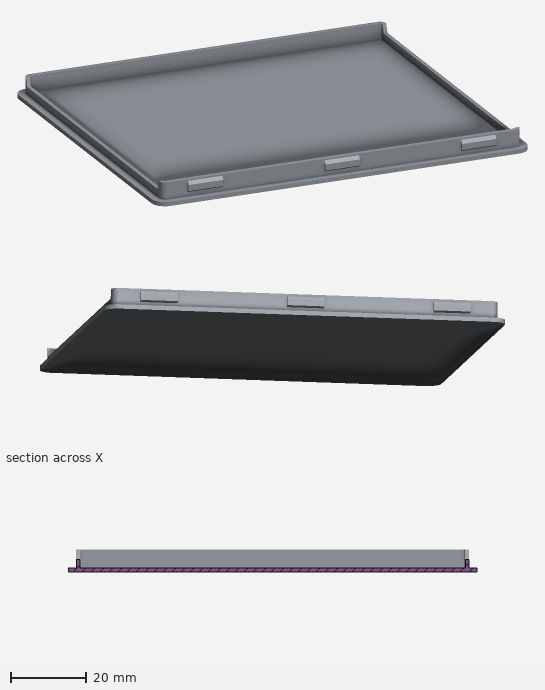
import cadquery as cq

plate_width = 96.0
plate_length = 109.0
plate_thickness = 1.2
total_height = 6.0

rim_inset = 2.1
side_wall = 1.4
end_wall = 1.1
end_wall_top = 3.5
rim_corner_radius = 1.7
cavity_corner_radius = 0.4
plate_corner_radius = rim_corner_radius + rim_inset
rim_width = plate_width - 2 * rim_inset
rim_length = plate_length - 2 * rim_inset

gap_top_margin = 1.9
gap_bottom_margin = 2.6

catch_length = 10.0
catch_spacing = 39.8
catch_depth = 0.7
catch_bottom = 2.4
catch_lower_ridge = 2.8
catch_upper_ridge = 4.6
catch_top = 5.6


def rounded_block(width, length, bottom, top, radius):
    """Block centred on the Z axis with rounded vertical edges."""
    block = cq.Workplane("XY").workplane(offset=bottom).rect(width, length).extrude(top - bottom)
    return block.edges("|Z").fillet(radius)


def make_rim():
    """Rim with full-height long sides and lowered end walls."""
    rim = rounded_block(rim_width, rim_length, 0, total_height, rim_corner_radius)
    cavity = rounded_block(
        rim_width - 2 * side_wall,
        rim_length - 2 * end_wall,
        plate_thickness,
        total_height,
        cavity_corner_radius,
    )
    half_top = rim_width / 2 - gap_top_margin
    half_bottom = rim_width / 2 - gap_bottom_margin
    gap = (
        cq.Workplane("XZ")
        .polyline([
            (-half_bottom, end_wall_top),
            (half_bottom, end_wall_top),
            (half_top, total_height),
            (-half_top, total_height),
        ])
        .close()
        .extrude(plate_length / 2, both=True)
    )
    return rim.cut(cavity).cut(gap)


def make_catch(side, center_y):
    """Bevelled catch on the +X (side = 1) or -X (side = -1) wall."""
    root = side * (rim_width / 2 - side_wall / 2)
    wall_face = side * rim_width / 2
    tip = wall_face + side * catch_depth
    return (
        cq.Workplane("XZ", origin=(0, center_y, 0))
        .polyline([
            (root, catch_bottom),
            (wall_face, catch_bottom),
            (tip, catch_lower_ridge),
            (tip, catch_upper_ridge),
            (wall_face, catch_top),
            (root, catch_top),
        ])
        .close()
        .extrude(catch_length / 2, both=True)
    )


plate = rounded_block(plate_width, plate_length, 0, plate_thickness, plate_corner_radius)
result = plate.union(make_rim())
for side in (-1, 1):
    for row in (-1, 0, 1):
        result = result.union(make_catch(side, row * catch_spacing))